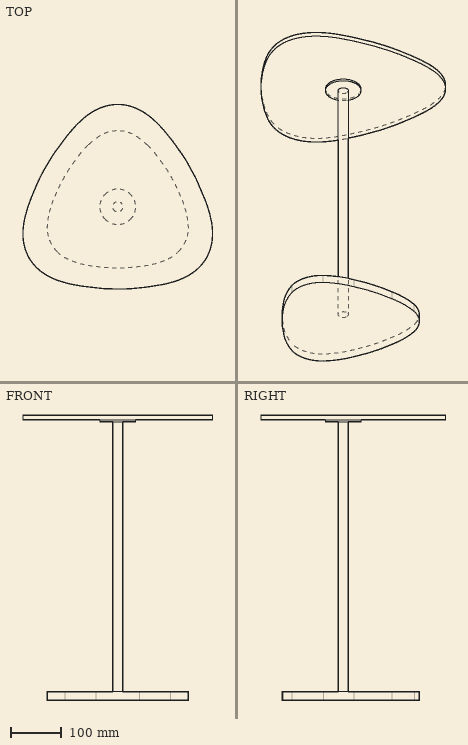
import cadquery as cq
import math

TOTAL_HEIGHT = 560.0
BASE_THICKNESS = 17.0
TOP_THICKNESS = 9.0
FLANGE_THICKNESS = 4.0

CORNERS = 3
MEAN_RADIUS = 179.0
CORNER_SWELL = 19.5
CORNER_SHARPENING = 2.5
SPLINE_POINTS = 36

BASE_TO_TOP_RATIO = 0.743
CORNER_HALF_ANGLE = 14.2
SIDE_HALF_ANGLE = 20.1

STEM_DIAMETER = 20.0
FLANGE_DIAMETER = 70.0

top_underside = TOTAL_HEIGHT - TOP_THICKNESS
stem_length = top_underside - FLANGE_THICKNESS - BASE_THICKNESS


def outline_point(angle, ratio=1.0):
    """Point on the rounded triangle, at an angle in degrees clockwise from the +Y corner."""
    turn = math.radians(angle)
    wave = math.cos(CORNERS * turn)
    sharp_wave = math.cos(2 * CORNERS * turn)
    radius = ratio * (MEAN_RADIUS + CORNER_SWELL * wave + CORNER_SHARPENING * sharp_wave)
    return (radius * math.sin(turn), radius * math.cos(turn))


def make_top():
    """Thin table top with one smooth, closed edge."""
    points = [outline_point(360 * i / SPLINE_POINTS) for i in range(SPLINE_POINTS)]
    return (
        cq.Workplane("XY", origin=(0, 0, top_underside))
        .spline(points, periodic=True)
        .close()
        .extrude(TOP_THICKNESS)
    )


def make_base():
    """Floor plate whose edge is a chain of corner, shoulder and side arcs."""
    corner_pitch = 360 / CORNERS
    side_start = corner_pitch / 2 - SIDE_HALF_ANGLE
    side_end = corner_pitch / 2 + SIDE_HALF_ANGLE
    arc_ends = [CORNER_HALF_ANGLE, side_start, side_end,
                corner_pitch - CORNER_HALF_ANGLE, corner_pitch + CORNER_HALF_ANGLE]

    edge = cq.Workplane("XY").moveTo(*outline_point(CORNER_HALF_ANGLE, BASE_TO_TOP_RATIO))
    for corner in range(CORNERS):
        turn = corner * corner_pitch
        for start, end in zip(arc_ends, arc_ends[1:]):
            middle = (start + end) / 2
            edge = edge.threePointArc(
                outline_point(turn + middle, BASE_TO_TOP_RATIO),
                outline_point(turn + end, BASE_TO_TOP_RATIO),
            )
    return edge.close().extrude(BASE_THICKNESS)


def make_stem():
    """Round post standing on the base, with a mounting flange under the top."""
    return (
        cq.Workplane("XY", origin=(0, 0, BASE_THICKNESS))
        .circle(STEM_DIAMETER / 2)
        .extrude(stem_length)
        .faces(">Z")
        .workplane()
        .circle(FLANGE_DIAMETER / 2)
        .extrude(FLANGE_THICKNESS)
    )


table_top = make_top()
base = make_base()
stem = make_stem()

result = cq.Compound.makeCompound([table_top.val(), base.val(), stem.val()])